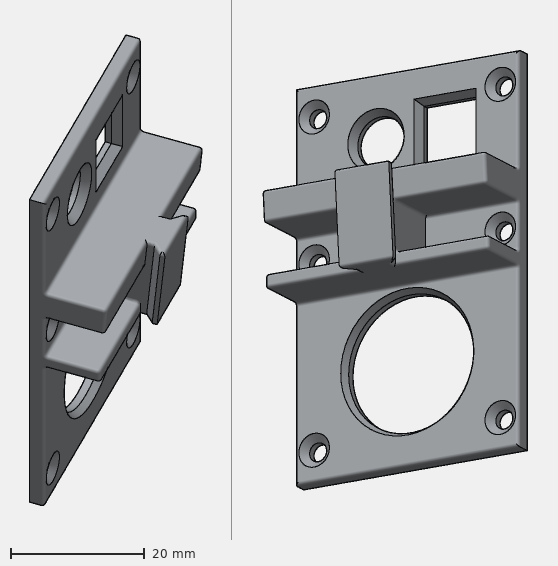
import cadquery as cq
import math

plate_width = 38.7
plate_height = 62.2
plate_thickness = 2.5
edge_radius = 0.53
turn_about_z = -45.0

opening_flare_angle = 30.0
upper_opening_land = 1.0
large_hole_land = 1.3
screw_hole_land = 1.3
screw_hole_flare_angle = 45.0
screw_hole_diameter = 2.9
screw_hole_x = 16.1
screw_hole_heights = (5.05, 34.6, 57.3)
large_hole_diameter = 21.65
large_hole_z = 16.35
small_hole_diameter = 8.0
small_hole_x = 5.4
window_size = 8.95
window_x = -6.5
upper_opening_z = 52.0

upper_shelf_bottom = 38.6
upper_shelf_top = 43.6
upper_shelf_depth = 12.5
lower_shelf_bottom = 28.5
lower_shelf_top = 30.7
lower_shelf_depth = 11.45
rake_angle = 5.0

neck_half_width = 3.2
tip_half_width = 4.65
rail_depth = 16.0
tip_flat = 0.8


def raked(depth, z):
    """Depth at height z of a face that has the given depth at the top of the upper shelf."""
    return depth - (upper_shelf_top - z) * math.tan(math.radians(rake_angle))


def make_plate():
    return cq.Workplane("XY").box(
        plate_width, plate_thickness, plate_height, centered=(True, False, False)
    )


def make_shelf(bottom, top, bottom_depth, top_depth):
    profile = [(0, bottom), (bottom_depth, bottom), (top_depth, top), (0, top)]
    return cq.Workplane("YZ").polyline(profile).close().extrude(plate_width / 2, both=True)


def make_upper_shelf():
    bottom_depth = raked(upper_shelf_depth, upper_shelf_bottom)
    return make_shelf(upper_shelf_bottom, upper_shelf_top, bottom_depth, upper_shelf_depth)


def make_lower_shelf():
    return make_shelf(lower_shelf_bottom, lower_shelf_top, lower_shelf_depth, lower_shelf_depth)


def rail_outline(z):
    rear = raked(rail_depth, z)
    flare_end = rear - tip_flat
    flare_start = flare_end - (tip_half_width - neck_half_width)
    right_side = [
        (neck_half_width, 0),
        (neck_half_width, flare_start),
        (tip_half_width, flare_end),
        (tip_half_width, rear),
    ]
    left_side = [(-x, y) for x, y in reversed(right_side)]
    return right_side + left_side


def make_rail():
    """Dovetail rail whose neck joins it to the plate and to both shelves."""
    bottom = lower_shelf_bottom
    top = upper_shelf_top
    return (
        cq.Workplane("XY", origin=(0, 0, bottom))
        .polyline(rail_outline(bottom)).close()
        .workplane(offset=top - bottom)
        .polyline(rail_outline(top)).close()
        .loft(ruled=True)
    )


def flare_outline(half_width, land, flare_angle):
    """Half section of an opening: straight land, then a wall sloping outward to the back face."""
    back_half_width = half_width + (plate_thickness - land) * math.tan(math.radians(flare_angle))
    outline = [
        (0, 0),
        (half_width, 0),
        (half_width, land),
        (back_half_width, plate_thickness),
        (0, plate_thickness),
    ]
    return cq.Workplane("XY").polyline(outline).close()


def flared_hole(diameter, land, flare_angle, x, z):
    """Cutter for a round opening."""
    outline = flare_outline(diameter / 2, land, flare_angle)
    return outline.revolve(360, (0, 0, 0), (0, 1, 0)).translate((x, 0, z))


def flared_window():
    """Cutter for the square opening: the overlap of two crossing flared channels."""
    outline = flare_outline(window_size / 2, upper_opening_land, opening_flare_angle)
    half_channel = outline.extrude(window_size, both=True)
    channel = half_channel.union(half_channel.mirror("YZ"))
    crossing_channel = channel.rotate((0, 0, 0), (0, 1, 0), 90)
    return channel.intersect(crossing_channel).translate((window_x, 0, upper_opening_z))


def is_rounded(edge):
    """All edges are rounded except those of the front face and the upright ones of the rail."""
    box = edge.BoundingBox()
    on_front = box.ymin < edge_radius / 2
    upright = box.zlen > edge_radius
    on_rail = max(abs(box.xmin), abs(box.xmax)) < tip_half_width + edge_radius
    return not on_front and not (upright and on_rail)


body = (
    make_plate()
    .union(make_upper_shelf())
    .union(make_lower_shelf())
    .union(make_rail())
)
rounded_edges = [edge for edge in body.edges().vals() if is_rounded(edge)]
body = body.newObject(rounded_edges).fillet(edge_radius)

body = body.cut(
    flared_hole(large_hole_diameter, large_hole_land, opening_flare_angle, 0, large_hole_z)
)
body = body.cut(
    flared_hole(
        small_hole_diameter, upper_opening_land, opening_flare_angle, small_hole_x, upper_opening_z
    )
)
body = body.cut(flared_window())
for hole_z in screw_hole_heights:
    for hole_x in (-screw_hole_x, screw_hole_x):
        body = body.cut(
            flared_hole(screw_hole_diameter, screw_hole_land, screw_hole_flare_angle, hole_x, hole_z)
        )

result = body.rotate((0, 0, 0), (0, 0, 1), turn_about_z)